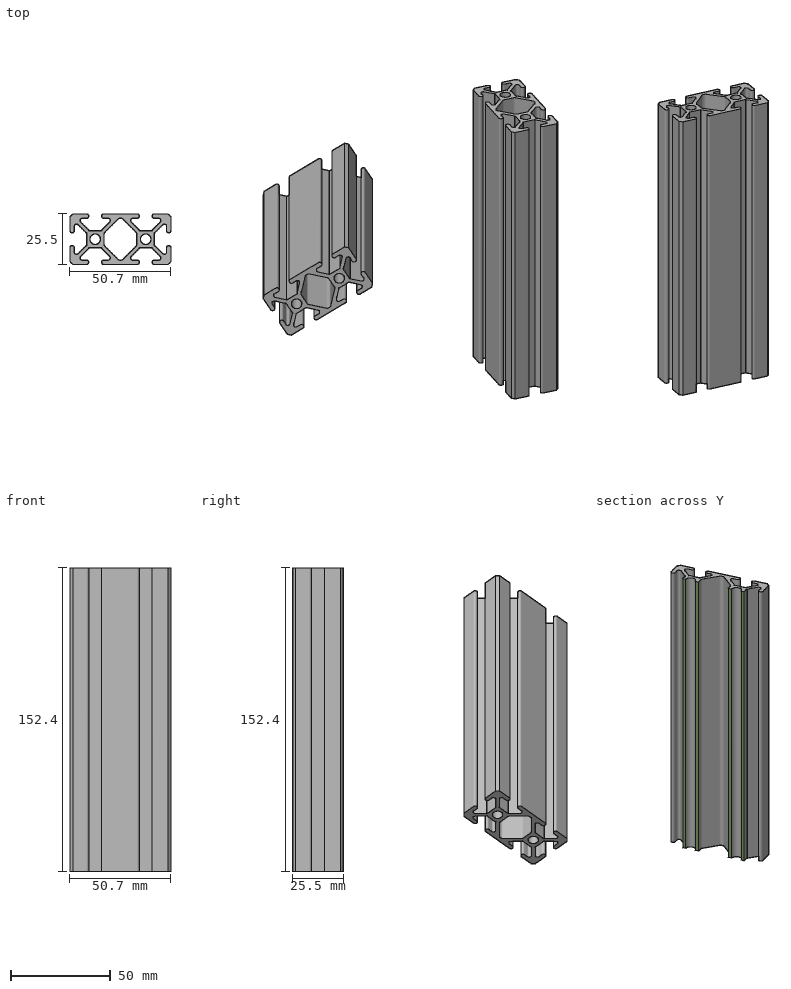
import cadquery as cq
import math

length = 152.4
profile_height = 25.5
profile_width = 50.7
corner_chamfer = 1.45
lip_thickness = 2.3
lip_round = 1.0
slot_opening = 6.4
slot_width = 15.0
slot_depth = 8.4
slot_corner_round = 0.9
rib_thickness = 2.0
cavity_width = 16.3
cavity_corner_round = 1.2
bore_diameter = 5.2

half_width = profile_width / 2
half_height = profile_height / 2
bore_offset = half_width / 2
rib_shift = rib_thickness / math.sqrt(2)


def slot_cutter():
    """T-slot opening towards +Y, with Y = 0 on the outer face and X = 0 on the slot axis."""
    half_slot = slot_width / 2
    wall_top = half_slot + rib_shift - half_height
    half_floor = half_height - slot_depth - rib_shift

    chamber = (
        cq.Workplane("XY")
        .polyline([
            (-half_slot, -lip_thickness),
            (half_slot, -lip_thickness),
            (half_slot, wall_top),
            (half_floor, -slot_depth),
            (-half_floor, -slot_depth),
            (-half_slot, wall_top),
        ])
        .close()
        .extrude(length)
    )
    side_corners = cq.selectors.BoxSelector(
        (-slot_width, wall_top - slot_corner_round, 0), (slot_width, 0, length)
    )
    chamber = chamber.edges("|Z").edges(side_corners).fillet(slot_corner_round)

    mouth = cq.Workplane("XY").rect(slot_opening, 2 * slot_depth).extrude(length)
    return chamber.union(mouth)


def lip_tips(x, y):
    """Selector for the upright edges of the lip tips of the slot whose mouth is centred at (x, y)."""
    reach = slot_opening / 2 + lip_round
    return cq.selectors.BoxSelector((x - reach, y - reach, 0), (x + reach, y + reach, length))


def cavity_cutter():
    """Eight-sided cavity between the two cells, bounded by the ribs and the bore walls."""
    half_cavity = cavity_width / 2
    top = half_height - lip_thickness
    half_top = bore_offset - top - rib_shift
    side_height = bore_offset - half_cavity - rib_shift
    upper_right = [(half_top, top), (half_cavity, side_height)]
    right = upper_right + [(x, -y) for x, y in reversed(upper_right)]
    left = [(-x, y) for x, y in reversed(right)]
    cavity = cq.Workplane("XY").polyline(right + left).close().extrude(length)
    return cavity.edges("|Z").fillet(cavity_corner_round)


body = (
    cq.Workplane("XY")
    .rect(profile_width, profile_height)
    .extrude(length)
    .edges("|Z")
    .chamfer(corner_chamfer)
)

slot = slot_cutter()
slot_places = [
    (-bore_offset, half_height, 0),
    (bore_offset, half_height, 0),
    (-half_width, 0, 90),
    (-bore_offset, -half_height, 180),
    (bore_offset, -half_height, 180),
    (half_width, 0, 270),
]
for x, y, angle in slot_places:
    body = body.cut(slot.rotate((0, 0, 0), (0, 0, 1), angle).translate((x, y, 0)))

for x, y, _ in slot_places:
    body = body.edges("|Z").edges(lip_tips(x, y)).fillet(lip_round)

body = body.cut(cavity_cutter())

bores = (
    cq.Workplane("XY")
    .pushPoints([(-bore_offset, 0), (bore_offset, 0)])
    .circle(bore_diameter / 2)
    .extrude(length)
)
result = body.cut(bores)